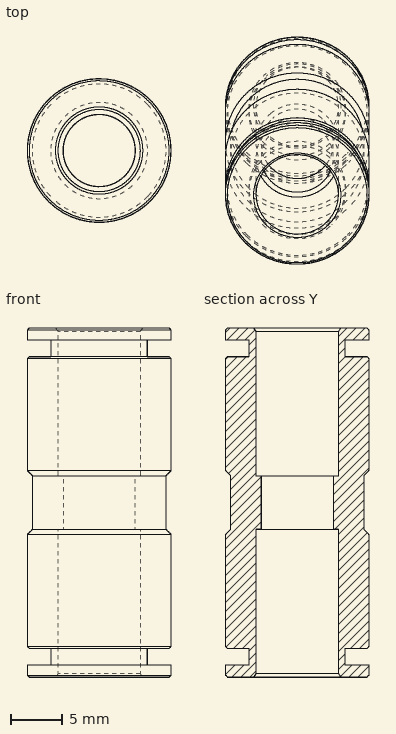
import cadquery as cq

body_diameter = 14.0
waist_diameter = 13.0
neck_diameter = 9.4
tube_bore_diameter = 8.0
mouth_diameter = 8.5
through_bore_diameter = 7.0

total_length = 34.0
flange_thickness = 1.2
neck_gap = 1.6
waist_length = 5.2
edge_chamfer = 0.2
lead_in_depth = 0.35

end_height = total_length / 2
flange_inner_height = end_height - flange_thickness
body_end_height = flange_inner_height - neck_gap
waist_end_height = waist_length / 2
shoulder_taper = (body_diameter - waist_diameter) / 2
tube_stop_height = waist_end_height


def cylinder(diameter, bottom, top):
    """Cylinder on the Z axis between two heights."""
    return cq.Workplane("XY").workplane(offset=bottom).circle(diameter / 2).extrude(top - bottom)


def sleeve():
    """Upper half of the body: outer edge broken, inner end tapered to the waist."""
    barrel = cylinder(body_diameter, waist_end_height, body_end_height)
    return barrel.faces(">Z").chamfer(edge_chamfer).faces("<Z").chamfer(shoulder_taper)


def release_collar():
    """Upper release collar: neck and flange with a broken outer edge."""
    neck = cylinder(neck_diameter, body_end_height, flange_inner_height)
    flange = cylinder(body_diameter, flange_inner_height, end_height)
    return neck.union(flange.faces(">Z").chamfer(edge_chamfer))


def tube_socket():
    """Upper tube bore, with a tapered lead-in at its mouth."""
    bore = cylinder(tube_bore_diameter, tube_stop_height, end_height)
    lead_in = (
        cq.Workplane("XY")
        .workplane(offset=end_height - lead_in_depth)
        .circle(tube_bore_diameter / 2)
        .workplane(offset=lead_in_depth)
        .circle(mouth_diameter / 2)
        .loft()
    )
    return bore.union(lead_in)


def both_ends(upper):
    """The upper shape together with its mirror image below the middle plane."""
    return upper.union(upper.mirror("XY"))


waist = cylinder(waist_diameter, -waist_end_height, waist_end_height)
outside = waist.union(both_ends(sleeve())).union(both_ends(release_collar()))
through_bore = cylinder(through_bore_diameter, -end_height, end_height)

result = outside.cut(through_bore).cut(both_ends(tube_socket()))